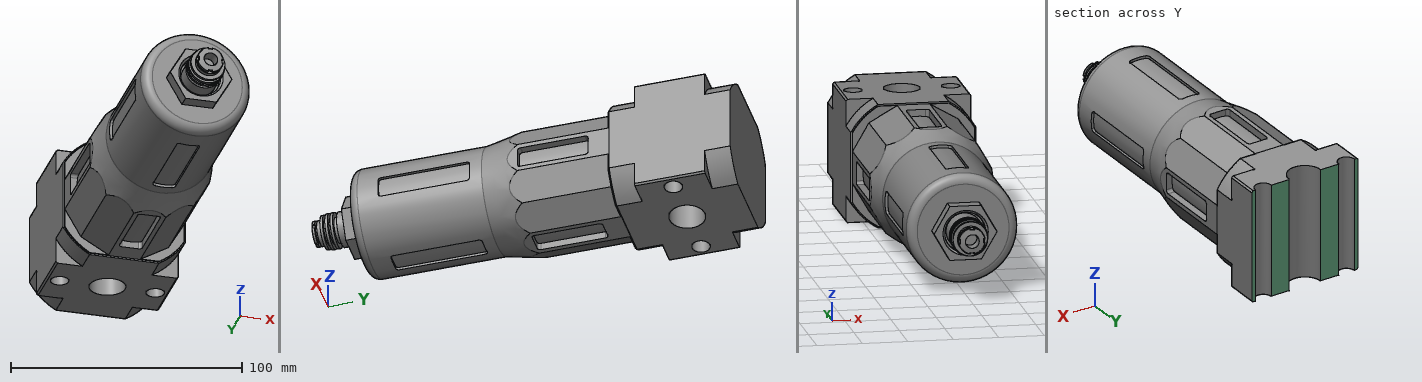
import cadquery as cq
import math


head_width = 55.0
head_length = 54.7
head_corner_radius = 31.6
head_corner_length = 11.5
head_edge_chamfer = 0.8
port_diameter = 16.0
mount_hole_diameter = 8.0
mount_hole_offset = 21.5

grip_sides = 12
grip_width = 53.7
rim_thickness = 0.5
rim_radius = 31.0
cone_start_depth = 96.0
cone_end_depth = 113.0
bowl_diameter = 48.6
bowl_end_depth = 173.2
bowl_end_fillet = 4.1

window_width = 10.2
window_corner_radius = 1.4
upper_window_start = 64.2
upper_window_end = 96.0
upper_window_floor_diameter = 47.8
lower_window_start = 118.5
lower_window_end = 159.7
lower_window_floor_diameter = 46.0

hex_across_flats = 24.0
hex_end_depth = 179.2
hex_recess_diameter = 18.0
hex_recess_depth = 4.0
hex_recess_chamfer = 1.0
stem_diameter = 15.8
stem_end_depth = 183.1
neck_diameter = 11.5
first_collar_depth = 184.9
collar_thickness = 1.2
collar_pitch = 2.3
collar_diameters = [16.0, 16.0, 15.2]
neck_end_depth = 192.7
tip_neck_diameter = 8.0
tip_start_depth = 193.7
overall_length = 195.2
tip_cone_height = 0.4
drain_bore_diameter = 6.0
drain_bore_depth = 5.9
tip_notch_width = 1.8
tip_notch_inner_radius = 5.0

grip_corner_diameter = grip_width / math.cos(math.pi / grip_sides)


def section_at(depth):
    """Workplane across the axis at a depth, facing -Y."""
    return cq.Workplane("XZ", origin=(0, -depth, 0))


def cylinder(diameter, start, end):
    return section_at(start).circle(diameter / 2).extrude(end - start)


def square_bar(width, start, end):
    return section_at(start).rect(width, width).extrude(end - start)


def rounded_square(width, radius, start, end):
    """Square bar whose corners are cut back to a circle about the axis."""
    return square_bar(width, start, end).intersect(cylinder(2 * radius, start, end))


def make_head():
    middle_end = head_length - head_corner_length
    head = square_bar(head_width, head_corner_length, middle_end)
    head = head.edges("|Y").chamfer(head_edge_chamfer)
    head = head.union(rounded_square(head_width, head_corner_radius, 0, head_length))

    port_plane = cq.Workplane("XY", origin=(0, -head_length / 2, -head_width / 2))
    port = port_plane.circle(port_diameter / 2).extrude(head_width)
    mount_holes = (
        port_plane.pushPoints([(-mount_hole_offset, 0), (mount_hole_offset, 0)])
        .circle(mount_hole_diameter / 2)
        .extrude(head_width)
    )
    return head.cut(port).cut(mount_holes)


def make_shell():
    """Turned bowl with a twelve-sided grip and a thin rim against the head."""
    bowl_radius = bowl_diameter / 2
    grip_radius = grip_corner_diameter / 2
    shell = (
        cq.Workplane("XY")
        .moveTo(0, -head_length)
        .lineTo(grip_radius, -head_length)
        .lineTo(grip_radius, -cone_start_depth)
        .lineTo(bowl_radius, -cone_end_depth)
        .lineTo(bowl_radius, -bowl_end_depth)
        .lineTo(0, -bowl_end_depth)
        .close()
        .revolve(360, (0, 0, 0), (0, 1, 0))
        .faces("<Y")
        .edges()
        .fillet(bowl_end_fillet)
    )
    half_side_angle = 180 / grip_sides
    grip = (
        section_at(head_length)
        .transformed(rotate=(0, 0, half_side_angle))
        .polygon(grip_sides, grip_corner_diameter)
        .extrude(bowl_end_depth - head_length)
    )
    rim = rounded_square(grip_width, rim_radius, head_length, head_length + rim_thickness)
    return shell.intersect(grip).union(rim)


def window_cutters(start, end, floor_diameter):
    """Four radial pockets around the bowl with one cylindrical floor."""
    window = (
        cq.Workplane("XY", origin=(0, -(start + end) / 2, 0))
        .rect(window_width, end - start)
        .extrude(head_width)
        .edges("|Z")
        .fillet(window_corner_radius)
        .cut(cylinder(floor_diameter, start, end))
    )
    return [window.rotate((0, 0, 0), (0, 1, 0), 90 * turn) for turn in range(4)]


def make_hex():
    hex_corner_diameter = hex_across_flats / math.cos(math.pi / 6)
    hexagon = (
        section_at(bowl_end_depth)
        .polygon(6, hex_corner_diameter)
        .extrude(hex_end_depth - bowl_end_depth)
    )
    recess = cylinder(hex_recess_diameter, hex_end_depth - hex_recess_depth, hex_end_depth)
    return hexagon.cut(recess).faces("<Y").edges("%CIRCLE").chamfer(hex_recess_chamfer)


def make_drain_stem():
    stem = cylinder(stem_diameter, bowl_end_depth, stem_end_depth)
    stem = stem.union(cylinder(neck_diameter, stem_end_depth, neck_end_depth))
    for index, diameter in enumerate(collar_diameters):
        collar_start = first_collar_depth + index * collar_pitch
        stem = stem.union(cylinder(diameter, collar_start, collar_start + collar_thickness))
    stem = stem.union(cylinder(tip_neck_diameter, neck_end_depth, tip_start_depth))

    tip_cone_width = (neck_diameter - drain_bore_diameter) / 2
    tip = (
        cylinder(neck_diameter, tip_start_depth, overall_length)
        .faces("<Y")
        .chamfer(tip_cone_height, tip_cone_width)
    )
    for turn in range(4):
        notch = (
            section_at(tip_start_depth)
            .center(tip_notch_inner_radius + tip_notch_width / 2, 0)
            .rect(tip_notch_width, tip_notch_width)
            .extrude(overall_length - tip_start_depth)
            .rotate((0, 0, 0), (0, 1, 0), 90 * turn)
        )
        tip = tip.cut(notch)
    bore = cylinder(drain_bore_diameter, overall_length - drain_bore_depth, overall_length)
    return stem.union(tip).cut(bore)


def make_bowl():
    bowl = make_shell()
    cutters = window_cutters(upper_window_start, upper_window_end, upper_window_floor_diameter)
    cutters += window_cutters(lower_window_start, lower_window_end, lower_window_floor_diameter)
    for cutter in cutters:
        bowl = bowl.cut(cutter)
    return bowl.union(make_hex()).union(make_drain_stem())


head = make_head()
bowl = make_bowl()

result = cq.Compound.makeCompound([head.val(), bowl.val()])